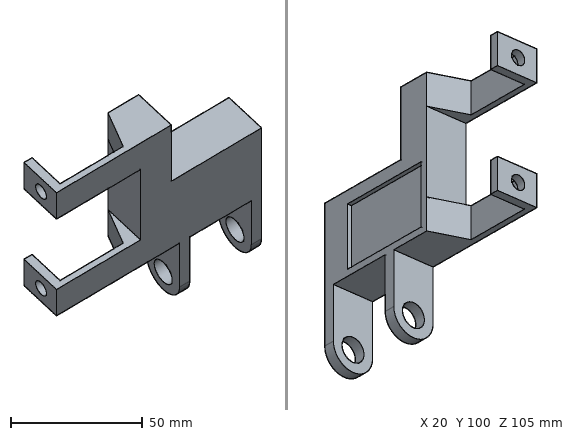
import cadquery as cq

width = 20.0
length = 100.0
height = 105.0

body_bottom = 35.0
step_top = 73.0
body_front = 41.0
upright_depth = 15.0

arm_height = 15.0
arm_wall = 2.8
arm_root_taper = 6.2
tab_thickness = 4.0
tab_hole_diameter = 6.6
tab_hole_x = 10.5

lug_thickness = 5.0
lug_spacing = 35.0
lug_radius = width / 2
lug_hole_diameter = 11.0

recess_depth = 2.0
recess_length = 42.6
recess_height = 28.8
recess_front_margin = 3.2
recess_bottom_margin = 3.2


def make_body():
    """L-shaped block: low at the back, with a full-height upright in front."""
    upright_back = body_front + upright_depth
    return (
        cq.Workplane("YZ")
        .moveTo(body_front, body_bottom)
        .lineTo(length, body_bottom)
        .lineTo(length, step_top)
        .lineTo(upright_back, step_top)
        .lineTo(upright_back, height)
        .lineTo(body_front, height)
        .close()
        .extrude(width)
    )


def make_arm(bottom):
    """Hooked arm with a tapered root and a drilled end tab."""
    inner_x = width - arm_wall
    arm = (
        cq.Workplane("XY", origin=(0, 0, bottom))
        .moveTo(0, 0)
        .lineTo(width, 0)
        .lineTo(width, body_front)
        .lineTo(0, body_front)
        .lineTo(inner_x, body_front - arm_root_taper)
        .lineTo(inner_x, tab_thickness)
        .lineTo(0, tab_thickness)
        .close()
        .extrude(arm_height)
    )
    hole = (
        cq.Workplane("XZ", origin=(tab_hole_x, 0, bottom + arm_height / 2))
        .circle(tab_hole_diameter / 2)
        .extrude(-tab_thickness)
    )
    return arm.cut(hole)


def make_lug(back):
    """Round-ended plate hanging below the body, with a pivot hole."""
    plane = cq.Workplane("XZ", origin=(0, back, 0))
    plate = (
        plane.moveTo(0, body_bottom)
        .lineTo(0, lug_radius)
        .threePointArc((lug_radius, 0), (width, lug_radius))
        .lineTo(width, body_bottom)
        .close()
        .extrude(lug_thickness)
    )
    hole = plane.center(lug_radius, lug_radius).circle(lug_hole_diameter / 2).extrude(lug_thickness)
    return plate.cut(hole)


def make_recess():
    """Volume removed from the -X face of the body."""
    corner = (0, body_front + recess_front_margin, body_bottom + recess_bottom_margin)
    return (
        cq.Workplane("XY", origin=corner)
        .box(recess_depth, recess_length, recess_height, centered=False)
    )


result = make_body().cut(make_recess())
for arm_bottom in (body_bottom, height - arm_height):
    result = result.union(make_arm(arm_bottom))
for lug_back in (length, length - lug_spacing):
    result = result.union(make_lug(lug_back))